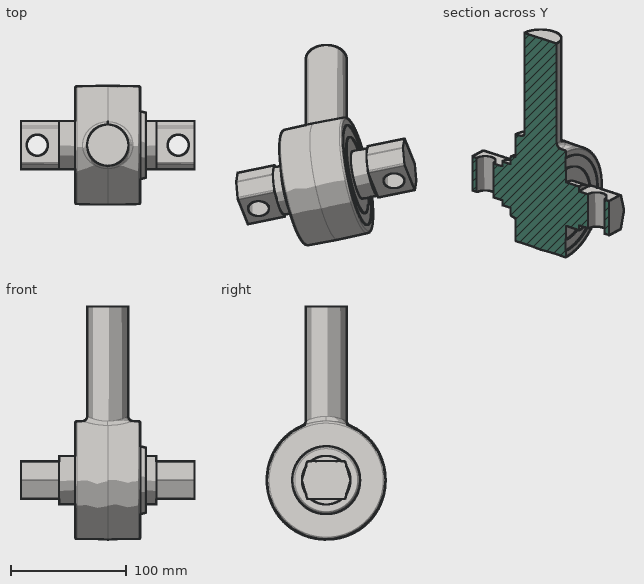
import math

import cadquery as cq

housing_radius = 51.45
housing_half_width = 28.1
draft_angle = 1.0
housing_edge_fillet = 1.75

groove_outer_radius = 44.1
groove_inner_radius = 33.7
groove_depth = 0.7

collar_base_radius = 29.4
collar_height = 5.0
collar_taper_angle = 14.0
collar_edge_fillet = 1.25

stem_radius = 17.8
stem_top = 149.83
stem_root_fillet = 4.0

pin_radius = 21.0
pin_half_length = 42.0
lug_end = 74.895
lug_thickness = 32.7
lug_flat_width = lug_thickness
lug_edge_fillet = 1.75
bolt_hole_diameter = 18.0
bolt_hole_offset = 60.8


def make_housing():
    """Double-drafted barrel with rounded rims."""
    rim_radius = housing_radius - housing_half_width * math.tan(math.radians(draft_angle))
    profile = (
        cq.Workplane("XY")
        .moveTo(-housing_half_width, 0)
        .lineTo(-housing_half_width, rim_radius)
        .lineTo(0, housing_radius)
        .lineTo(housing_half_width, rim_radius)
        .lineTo(housing_half_width, 0)
        .close()
    )
    barrel = profile.revolve(360, (0, 0, 0), (1, 0, 0))
    return barrel.faces("<X or >X").edges().fillet(housing_edge_fillet)


def add_stem(housing):
    """Join the stem to the barrel and round the edge where they meet."""
    stem = cq.Workplane("XY").circle(stem_radius).extrude(stem_top)
    reach = stem_radius + stem_root_fillet
    root_zone = cq.selectors.BoxSelector(
        (-reach, -reach, housing_radius / 2),
        (reach, reach, housing_radius + stem_root_fillet),
        boundingbox=True,
    )
    body = housing.union(stem)
    return body.edges(root_zone).fillet(stem_root_fillet)


def make_groove():
    """Ring that is cut from the -X face."""
    return (
        cq.Workplane("YZ", origin=(-housing_half_width, 0, 0))
        .circle(groove_outer_radius)
        .circle(groove_inner_radius)
        .extrude(groove_depth)
    )


def make_collar():
    """Tapered disc with a rounded rim, standing on the +X face."""
    collar = (
        cq.Workplane("YZ", origin=(housing_half_width, 0, 0))
        .circle(collar_base_radius)
        .extrude(collar_height, taper=collar_taper_angle)
    )
    return collar.faces(">X").edges().fillet(collar_edge_fillet)


def make_pin():
    """Round middle part of the pin."""
    pin_start = cq.Workplane("YZ", origin=(-pin_half_length, 0, 0))
    return pin_start.circle(pin_radius).extrude(2 * pin_half_length)


def make_lug(side):
    """Six-sided lug with rounded long edges and a vertical bolt hole; side is +1 or -1."""
    half_thickness = lug_thickness / 2
    half_flat = lug_flat_width / 2
    outline = [
        (half_flat, half_thickness),
        (pin_radius, 0),
        (half_flat, -half_thickness),
        (-half_flat, -half_thickness),
        (-pin_radius, 0),
        (-half_flat, half_thickness),
    ]
    lug = (
        cq.Workplane("YZ", origin=(side * pin_half_length, 0, 0))
        .polyline(outline)
        .close()
        .extrude(side * (lug_end - pin_half_length))
        .edges("|X")
        .fillet(lug_edge_fillet)
    )
    bolt_hole = (
        cq.Workplane("XY", origin=(side * bolt_hole_offset, 0, -half_thickness))
        .circle(bolt_hole_diameter / 2)
        .extrude(lug_thickness)
    )
    return lug.cut(bolt_hole)


body = add_stem(make_housing())
body = body.cut(make_groove())
body = body.union(make_collar())
body = body.union(make_pin())
for side in (-1, 1):
    body = body.union(make_lug(side))

result = body